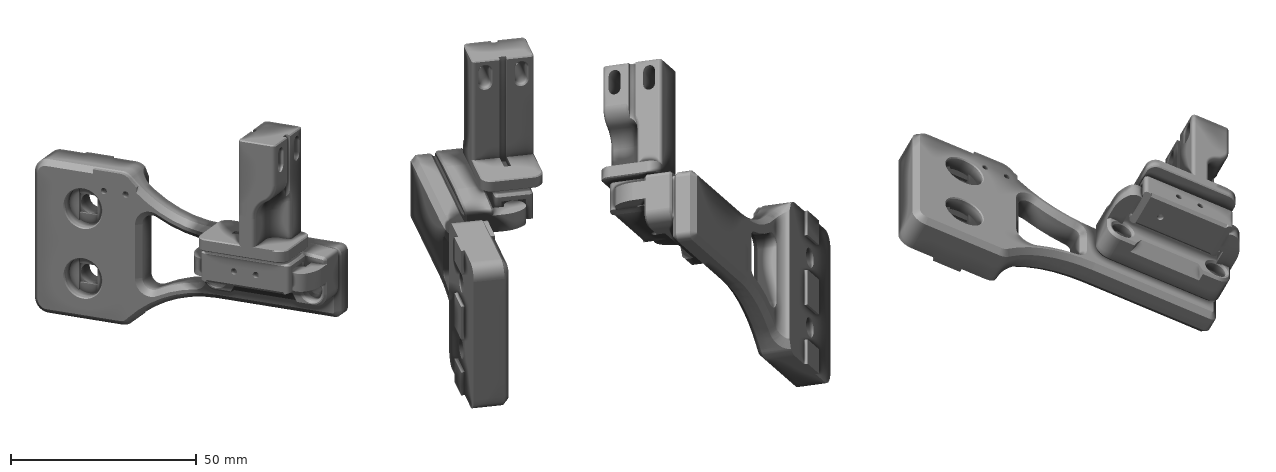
import cadquery as cq
import math


overall_length = 91.38
plate_height = 44.0
plate_width = 27.75
plate_thickness = 10.0
plate_corner_radius = 4.0
mid_height = plate_height / 2
arm_height = 20.0
arm_top = mid_height + arm_height / 2
arm_bottom = mid_height - arm_height / 2
arm_thickness = 7.0
arm_end_radius = 2.0
taper_run = (plate_height - arm_height) / 2
sweep_radius = 35.0
sweep_end = plate_width + taper_run + sweep_radius * math.tan(math.radians(22.5))
edge_chamfer = 1.5
step_x = 29.9
step_radius = plate_thickness - arm_thickness

bolt_x = 15.0
bolt_spacing = 20.0
bolt_heights = [mid_height - bolt_spacing / 2, mid_height + bolt_spacing / 2]
bolt_hole = 5.5
bolt_head = 11.0
bolt_head_depth = 3.2
bolt_rim_chamfer = 0.3
bridge_step = 0.7
key_width = 8.2
key_height = 1.0
key_gap = 10.0

window_left = 32.0
window_wall = 4.0
window_right = sweep_end - window_wall
window_left_radius = 3.0
window_right_radius = 2.0

pilot_hole = 1.8
pilot_spacing = 6.5
tag_center_x = 24.45
tag_width = 13.0
tag_bottom = 36.4
tag_inset = 0.3
tag_thickness = 2.0
tag_pilot_z = 38.0
pad_inset = 0.9
pad_thickness = 1.0

dock_width = 37.0
dock_left = sweep_end
center_x = dock_left + dock_width / 2
dock_depth = 8.0
dock_bottom = 17.65
dock_top = 33.2
dock_end_top = 32.2
dock_flat_width = 13.4
dock_bottom_radius = 4.0
dock_top_radius = 1.1
dock_front_chamfer = 0.7
dock_back_chamfer = 0.5
screw_offset = 14.1
screw_z = 22.1
screw_hole = 3.4
screw_head = 5.8
screw_head_depth = 3.0
screw_rim_chamfer = 0.6
bevel_size = 3.0
bevel_width = 17.0
bevel_end_run = 1.8

hook_width = 4.35
hook_bottom = 25.2
hook_height = 5.1
hook_tip_radius = 3.0
hook_tip_y = -14.7
hook_tip_x = 58.5
hook_sweep_radius = 9.0
hook_sweep_y = -11.15

bracket_depth = 17.13
bracket_front = -23.13
bracket_mid_y = bracket_front + bracket_depth / 2
base_width = 26.7
base_bottom = 34.56
base_thickness = 3.5
base_top = base_bottom + base_thickness
base_corner_radius = 3.0
small_chamfer = 0.3
post_height = 30.0
post_left = 72.1
post_width = 11.1
post_right = post_left + post_width
post_top = base_top + post_height
post_radius = 1.0
slot_width = 3.4
slot_length = 7.0
slot_spacing = 10.0
slot_z = 63.0
groove_width = 2.0
groove_depth = 1.3
wire_slot_start = 66.8
wire_slot_depth = 2.0
wire_hole_length = 1.5
pocket_wall = 5.0
pocket_floor_y = -13.3
pocket_curve_bottom = 46.1
pocket_curve_top = 56.4
pocket_fillet = 3.0

probe_width = 26.6
probe_depth = 10.6
probe_front = -20.05
probe_back = probe_front + probe_depth
probe_bottom = 24.5
probe_height = 8.8
probe_top = probe_bottom + probe_height
probe_corner_radius = 1.0
probe_top_chamfer = 0.5
probe_bottom_chamfer = 0.8
probe_bevel_run = 2.0
probe_bevel_rise = 0.8
probe_pilot_z = 29.0
pilot_depth = 5.0
socket_clearance = 0.5
socket_top = 31.5
probe_wire_x = 66.6


def box(x, y, z):
    """Box spanning the given (low, high) pairs along X, Y and Z."""
    size = (x[1] - x[0], y[1] - y[0], z[1] - z[0])
    return cq.Workplane("XY").box(*size, centered=False).translate((x[0], y[0], z[0]))


def cylinder(x, z, diameter, front, back):
    """Cylinder along Y between the front and back positions."""
    return cq.Workplane("XZ", origin=(x, back, z)).circle(diameter / 2).extrude(back - front)


def countersink_rim(x, z, diameter, chamfer, front):
    """Cone that chamfers the rim of a hole opening at the front position."""
    rim = cq.Workplane("XZ", origin=(x, front + chamfer, z)).circle(diameter / 2)
    return rim.workplane(offset=chamfer).circle(diameter / 2 + chamfer).loft()


def arm_prism(back, inset=0.0):
    """Plate-and-arm outline, shrunk by the inset, from the front face to the back position."""
    prism = (
        cq.Workplane("XZ", origin=(0, plate_thickness, 0))
        .polyline(
            [
                (0, 0),
                (plate_width, 0),
                (plate_width + taper_run, arm_bottom),
                (overall_length, arm_bottom),
                (overall_length, arm_top),
                (plate_width + taper_run, arm_top),
                (plate_width, plate_height),
                (0, plate_height),
            ]
        )
        .close()
        .extrude(plate_thickness)
    )
    prism = prism.edges(cq.selectors.BoxSelector((-1, -1, -1), (plate_width + 1, 20, 50))).edges("|Y")
    prism = prism.fillet(plate_corner_radius)
    taper_ends = cq.selectors.BoxSelector((plate_width + 5, -1, -1), (sweep_end, 20, 50))
    prism = prism.edges(taper_ends).edges("|Y").fillet(sweep_radius)
    prism = prism.edges(">X").edges("|Y").fillet(arm_end_radius)
    outline = prism.faces("<Y").wires().vals()[0]
    if inset:
        outline = outline.offset2D(-inset)[0]
    return cq.Workplane("XY").add(cq.Solid.extrudeLinear(outline, [], cq.Vector(0, back, 0)))


def window_prism():
    """Window through the arm; its top and bottom run concentric with the swept outline."""
    radius = sweep_radius + window_wall
    sweep_center_z = arm_top + sweep_radius

    def half_height(x):
        return sweep_center_z - math.sqrt(radius**2 - (sweep_end - x) ** 2) - mid_height

    mid_x = (window_left + window_right) / 2
    left, middle, right = (half_height(x) for x in (window_left, mid_x, window_right))
    prism = (
        cq.Workplane("XZ", origin=(0, plate_thickness, mid_height))
        .moveTo(window_left, -left)
        .threePointArc((mid_x, -middle), (window_right, -right))
        .lineTo(window_right, right)
        .threePointArc((mid_x, middle), (window_left, left))
        .close()
        .extrude(plate_thickness)
    )
    prism = prism.edges("|Y").edges("<X").fillet(window_left_radius)
    return prism.edges("|Y").edges(">X").fillet(window_right_radius)


def bolt_pockets():
    """Counterbored bolt holes, stepped from round to slot to square to round for printing."""
    pockets = cq.Workplane("XY")
    half = bolt_hole / 2
    for z in bolt_heights:
        head = cylinder(bolt_x, z, bolt_head, 0, bolt_head_depth)
        slot = box(
            (bolt_x - half, bolt_x + half),
            (0, bolt_head_depth + bridge_step),
            (z - bolt_head / 2, z + bolt_head / 2),
        ).intersect(cylinder(bolt_x, z, bolt_head, 0, plate_thickness))
        square = box(
            (bolt_x - half, bolt_x + half),
            (0, bolt_head_depth + 2 * bridge_step),
            (z - half, z + half),
        )
        pockets = pockets.union(head).union(slot).union(square)
        pockets = pockets.union(cylinder(bolt_x, z, bolt_hole, 0, plate_thickness + key_height))
        pockets = pockets.union(countersink_rim(bolt_x, z, bolt_head, bolt_rim_chamfer, 0))
    return pockets


def profile_keys():
    """Keys on the back that locate in an extrusion slot, interrupted around the bolts."""
    edges = [0]
    for z in bolt_heights:
        edges += [z - key_gap / 2, z + key_gap / 2]
    edges.append(plate_height)
    x_span = (bolt_x - key_width / 2, bolt_x + key_width / 2)
    y_span = (plate_thickness, plate_thickness + key_height)
    return [box(x_span, y_span, (low, high)) for low, high in zip(edges[::2], edges[1::2])]


def make_arm(inserts):
    arm = arm_prism(plate_thickness)
    thinning = (
        cq.Workplane("XY")
        .moveTo(step_x, plate_thickness)
        .radiusArc((step_x + step_radius, arm_thickness), -step_radius)
        .lineTo(overall_length, arm_thickness)
        .lineTo(overall_length, plate_thickness)
        .close()
        .extrude(plate_height)
    )
    arm = arm.cut(thinning)
    arm = arm.faces("<Y").edges().chamfer(edge_chamfer)
    arm_back = cq.selectors.BoxSelector(
        (step_x + step_radius + 1, arm_thickness - 0.1, -1),
        (overall_length + 1, arm_thickness + 0.1, plate_height),
    )
    arm = arm.edges(arm_back).chamfer(edge_chamfer)
    arm = arm.cut(window_prism())
    window_rim = cq.selectors.BoxSelector(
        (window_left - 0.1, -0.1, arm_bottom - 1), (window_right + 0.1, 0.1, arm_top + 1)
    )
    arm = arm.edges(window_rim).chamfer(edge_chamfer)
    for key in profile_keys():
        arm = arm.union(key)
    arm = arm.cut(bolt_pockets())
    for insert in inserts:
        arm = arm.cut(insert)
    return arm


def make_tag():
    """Corner insert flush with the front face, before its pilot holes are drilled."""
    blank = box(
        (tag_center_x - tag_width / 2, tag_center_x + tag_width / 2),
        (0, tag_thickness),
        (tag_bottom, plate_height),
    )
    return blank.intersect(arm_prism(tag_thickness, tag_inset)).cut(bolt_pockets())


def drill_tag(tag):
    for side in (-1, 1):
        x = tag_center_x + side * pilot_spacing / 2
        tag = tag.cut(cylinder(x, tag_pilot_z, pilot_hole, 0, tag_thickness))
    return tag


def make_pad():
    """Insert behind the dock, flush with the front of the arm."""
    return box(
        (dock_left + pad_inset, dock_left + dock_width - pad_inset),
        (0, pad_thickness),
        (dock_bottom + pad_inset, dock_end_top - 1.0),
    ).edges("|Y").fillet(1.0)


def make_hook():
    """Left hook: a bar that bows inward to a round tip."""
    tip_angle = math.radians(225)
    bow_end = (
        hook_tip_x + hook_tip_radius * math.cos(tip_angle),
        hook_tip_y + hook_tip_radius * math.sin(tip_angle),
    )
    bar = (
        cq.Workplane("XY", origin=(0, 0, hook_bottom))
        .moveTo(dock_left, -dock_depth / 2)
        .lineTo(dock_left, hook_sweep_y)
        .radiusArc(bow_end, -hook_sweep_radius)
        .lineTo(hook_tip_x, hook_tip_y)
        .lineTo(dock_left + hook_width, hook_tip_y)
        .lineTo(dock_left + hook_width, -dock_depth / 2)
        .close()
        .extrude(hook_height)
    )
    tip = (
        cq.Workplane("XY", origin=(hook_tip_x, hook_tip_y, hook_bottom))
        .circle(hook_tip_radius)
        .extrude(hook_height)
    )
    return bar.union(tip)


def mirrored(shape):
    """Copy on the other side of the dock centre."""
    return shape.mirror("YZ", (center_x, 0, 0))


def make_dock():
    dock_right = dock_left + dock_width
    half_flat = dock_flat_width / 2
    dock = (
        cq.Workplane("XZ")
        .polyline(
            [
                (dock_left, dock_bottom),
                (dock_right, dock_bottom),
                (dock_right, dock_end_top),
                (center_x + half_flat, dock_top),
                (center_x - half_flat, dock_top),
                (dock_left, dock_end_top),
            ]
        )
        .close()
        .extrude(dock_depth)
    )
    for side in ("<X", ">X"):
        dock = dock.edges("|Y").edges(side).edges("<Z").fillet(dock_bottom_radius)
        dock = dock.edges("|Y").edges(side).edges(">Z").fillet(dock_top_radius)
    dock = dock.faces("<Y").edges().chamfer(dock_front_chamfer)
    dock = dock.faces(">Y").edges().chamfer(dock_back_chamfer)

    bevel = (
        cq.Workplane("YZ")
        .polyline(
            [
                (-dock_depth, dock_bottom),
                (-dock_depth, dock_bottom + bevel_size),
                (bevel_size - dock_depth, dock_bottom),
            ]
        )
        .close()
        .extrude(overall_length)
    )
    half_bevel = bevel_width / 2
    bevel_ends = (
        cq.Workplane("XZ")
        .polyline(
            [
                (center_x - half_bevel - bevel_end_run, dock_bottom),
                (center_x + half_bevel + bevel_end_run, dock_bottom),
                (center_x + half_bevel, dock_bottom + bevel_size),
                (center_x - half_bevel, dock_bottom + bevel_size),
            ]
        )
        .close()
        .extrude(dock_depth)
    )
    dock = dock.cut(bevel.intersect(bevel_ends))

    for side in (-1, 1):
        x = center_x + side * screw_offset
        dock = dock.cut(cylinder(x, screw_z, screw_hole, -dock_depth, 0))
        dock = dock.cut(cylinder(x, screw_z, screw_head, -dock_depth, screw_head_depth - dock_depth))
        dock = dock.cut(countersink_rim(x, screw_z, screw_head, screw_rim_chamfer, -dock_depth))
    hook = make_hook()
    return dock.union(hook).union(mirrored(hook))


def make_probe():
    left = center_x - probe_width / 2
    right = center_x + probe_width / 2
    probe = (
        cq.Workplane("XZ", origin=(0, probe_back, 0))
        .polyline(
            [
                (left + probe_bevel_run, probe_bottom),
                (right - probe_bevel_run, probe_bottom),
                (right, probe_bottom + probe_bevel_rise),
                (right, probe_top),
                (left, probe_top),
                (left, probe_bottom + probe_bevel_rise),
            ]
        )
        .close()
        .extrude(probe_depth)
    )
    probe = probe.edges("|Z").fillet(probe_corner_radius)
    probe = probe.faces(">Z").edges().chamfer(probe_top_chamfer)
    probe = probe.faces("<Z").edges("|X").chamfer(probe_bottom_chamfer)
    socket = box(
        (left, hook_tip_x + hook_tip_radius + socket_clearance),
        (
            hook_tip_y - hook_tip_radius - socket_clearance,
            hook_tip_y + hook_tip_radius + socket_clearance,
        ),
        (hook_bottom, socket_top),
    )
    probe = probe.cut(socket).cut(mirrored(socket))
    for side in (-1, 1):
        x = center_x + side * pilot_spacing / 2
        probe = probe.cut(cylinder(x, probe_pilot_z, pilot_hole, probe_front, probe_front + pilot_depth))
    wire_hole = (
        cq.Workplane("XY", origin=(probe_wire_x, bracket_mid_y, probe_bottom))
        .circle(pilot_hole / 2)
        .extrude(probe_height)
    )
    return probe.cut(wire_hole)


def relief_pocket():
    """Pocket that thins the post from the front right, blending up through an S-curve."""
    wall_x = post_left + pocket_wall
    mid_x = (wall_x + post_right) / 2
    mid_z = (pocket_curve_bottom + pocket_curve_top) / 2
    half_run = mid_x - wall_x
    half_rise = mid_z - pocket_curve_bottom
    radius = (half_run**2 + half_rise**2) / (2 * half_run)
    margin = pocket_fillet
    depth = pocket_floor_y - bracket_front
    pocket = (
        cq.Workplane("XZ", origin=(0, pocket_floor_y, 0))
        .moveTo(wall_x, base_top)
        .lineTo(wall_x, pocket_curve_bottom)
        .radiusArc((mid_x, mid_z), radius)
        .radiusArc((post_right, pocket_curve_top), -radius)
        .lineTo(post_right + margin, pocket_curve_top)
        .lineTo(post_right + margin, base_top)
        .close()
        .extrude(depth)
    )
    curve_edges = cq.selectors.BoxSelector(
        (wall_x - 0.1, pocket_floor_y - 0.1, base_top + 1),
        (post_right, pocket_floor_y + 0.1, pocket_curve_top - 0.5),
    )
    return pocket.edges(curve_edges).fillet(pocket_fillet)


def make_bracket():
    half_groove = groove_width / 2
    groove_y = (bracket_mid_y - half_groove, bracket_mid_y + half_groove)
    base = (
        cq.Workplane("XY", origin=(center_x, bracket_mid_y, base_bottom))
        .rect(base_width, bracket_depth)
        .extrude(base_thickness)
        .edges("|Z")
        .fillet(base_corner_radius)
        .faces("<Z or >Z")
        .edges()
        .chamfer(small_chamfer)
    )
    post = box(
        (post_left, post_right),
        (bracket_front, bracket_front + bracket_depth),
        (base_bottom + small_chamfer, post_top),
    )
    post = post.cut(relief_pocket())
    post = post.edges("|Z").edges("<X or >X").fillet(post_radius)
    post = post.faces(">Z").edges().chamfer(small_chamfer)

    for side in (-1, 1):
        slot = (
            cq.Workplane("YZ", origin=(post_left, bracket_mid_y + side * slot_spacing / 2, slot_z))
            .slot2D(slot_length, slot_width, 90)
            .extrude(post_width)
        )
        rim = (
            cq.Workplane("YZ", origin=(post_left, bracket_mid_y + side * slot_spacing / 2, slot_z))
            .slot2D(slot_length + 2 * small_chamfer, slot_width + 2 * small_chamfer, 90)
            .extrude(small_chamfer, taper=45)
        )
        post = post.cut(slot).cut(rim)
    bracket = base.union(post)
    bracket = bracket.cut(box((post_left, post_left + groove_depth), groove_y, (base_top, post_top)))
    bracket = bracket.cut(box((post_right - groove_depth, post_right), groove_y, (base_top, post_top)))
    bracket = bracket.cut(
        box((wire_slot_start, post_left + groove_depth), groove_y, (base_top - wire_slot_depth, base_top))
    )
    wire_hole_x = (wire_slot_start, wire_slot_start + wire_hole_length)
    return bracket.cut(box(wire_hole_x, groove_y, (base_bottom, base_top)))


tag_blank = make_tag()
tag = drill_tag(tag_blank)
pad = make_pad()
arm = make_arm([tag_blank, pad])
dock = make_dock()
probe = make_probe()
bracket = make_bracket()

result = cq.Compound.makeCompound(
    [arm.val(), tag.val(), pad.val(), dock.val(), probe.val(), bracket.val()]
)